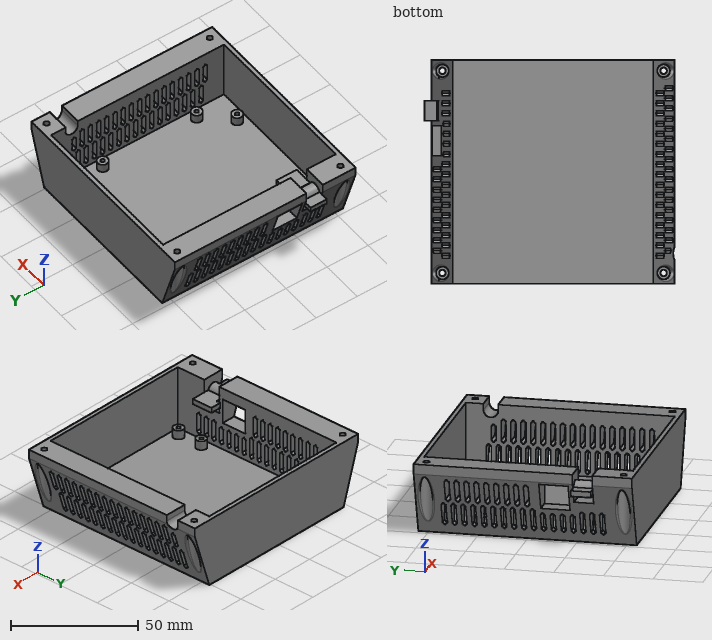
import cadquery as cq

total_length = 98.3
top_length = 95.6
bottom_length = 78.7
width = 88.0
height = 30.0
rim_band = 3.9
cavity_length = 74.4
side_wall = 2.0
floor_thickness = 2.0
lean_height = height - rim_band

screw_x = 43.5
screw_y = 39.7
screw_diameter = 2.5
head_diameter = 5.0
head_seat_z = 26.5
head_edge_radius = 0.8

post_diameter = 4.8
post_bore = 1.8
post_height = 4.0
outer_post_y = 37.6
outer_post_xs = (-32.7, 22.3)
inner_post_x = 32.8
inner_post_ys = (20.2, -25.6)

vents_per_row = 17
vent_row_span = 63.8
vent_pitch = vent_row_span / (vents_per_row - 1)
vent_stagger = vent_pitch / 2
vent_width = 2.0
upper_vent_z = (14.4, 24.2)
lower_vent_z = (3.7, 13.6)
short_upper_top = 21.8
short_lower_top = 12.0
upper_vents_beside_window = 9

window_y = (-18.2, -6.4)
window_z = (14.1, 25.0)

groove_width = 5.9
groove_y = 32.1
groove_depth = 5.4

lever_width = 8.0
lever_y = -24.0
lever_length = 20.1
lever_thickness = 2.4
lever_top = 24.2
barrel_diameter = 6.6
barrel_from_tip = 8.0
tab_length = 5.2
tab_reach = 2.0
notch_floor = 17.9

lever_tip_x = top_length / 2 - total_length
lever_end_x = lever_tip_x + lever_length


def block(x_range, y_range, z_range):
    """Box between the given X, Y and Z limits."""
    low, high = zip(x_range, y_range, z_range)
    size = [b - a for a, b in zip(low, high)]
    return cq.Workplane("XY").box(*size, centered=False).translate(low)


def wall_limits(side):
    """X limits that take in the whole wall on the -X (side -1) or +X (side 1) end."""
    return sorted((side * cavity_length / 2, side * top_length / 2))


def shell_outside():
    """Solid outer form, with the leaning sides under the rim band."""
    return (
        cq.Workplane("XZ")
        .moveTo(-bottom_length / 2, 0)
        .lineTo(bottom_length / 2, 0)
        .lineTo(top_length / 2, lean_height)
        .lineTo(top_length / 2, height)
        .lineTo(-top_length / 2, height)
        .lineTo(-top_length / 2, lean_height)
        .close()
        .extrude(width / 2, both=True)
    )


def cut_screw_holes(body):
    """Head pockets rise from the leaning faces; their mouths are rounded over."""
    corners = [(sx * screw_x, sy * screw_y) for sx in (-1, 1) for sy in (-1, 1)]
    pockets = cq.Workplane("XY").pushPoints(corners).circle(head_diameter / 2).extrude(head_seat_z)
    body = body.cut(pockets)
    body = body.edges("%ELLIPSE").fillet(head_edge_radius)
    holes = cq.Workplane("XY").pushPoints(corners).circle(screw_diameter / 2).extrude(height)
    return body.cut(holes)


def vent(side, y, z_range):
    """Upright slot cutter through one X wall, with a 45 degree point at each end."""
    start, end = wall_limits(side)
    bottom, top = z_range
    half_width = vent_width / 2
    return (
        cq.Workplane("YZ", origin=(start, y, 0))
        .moveTo(0, bottom)
        .lineTo(half_width, bottom + half_width)
        .lineTo(half_width, top - half_width)
        .lineTo(0, top)
        .lineTo(-half_width, top - half_width)
        .lineTo(-half_width, bottom + half_width)
        .close()
        .extrude(end - start)
    )


def vent_y(index, stagger_direction):
    """Y of a slot, counted from the +Y end of its row."""
    return vent_row_span / 2 - index * vent_pitch + stagger_direction * vent_stagger / 2


def upper_vents(side):
    """Slots that the window and lever notch leave no room for are absent from the -X wall."""
    count = upper_vents_beside_window if side < 0 else vents_per_row
    cutters = []
    for index in range(count):
        bottom, top = upper_vent_z
        if side > 0 and index == 0:
            top = short_upper_top
        cutters.append(vent(side, vent_y(index, -1), (bottom, top)))
    return cutters


def lower_vents(side):
    """Slots just below the window in the -X wall are shortened."""
    cutters = []
    for index in range(vents_per_row):
        bottom, top = lower_vent_z
        y = vent_y(index, 1)
        if side < 0 and window_y[0] - vent_width < y < window_y[1] + vent_width:
            top = short_lower_top
        cutters.append(vent(side, y, (bottom, top)))
    return cutters


def cable_groove():
    """Cutter with straight sides and a half-round bottom, running through the whole +X wall."""
    radius = groove_width / 2
    return (
        cq.Workplane("YZ", origin=(cavity_length / 2, groove_y, height))
        .moveTo(-radius, 0)
        .lineTo(-radius, radius - groove_depth)
        .threePointArc((0, -groove_depth), (radius, radius - groove_depth))
        .lineTo(radius, 0)
        .close()
        .extrude((top_length - cavity_length) / 2)
    )


def add_posts(body):
    """Eight bored posts that stand on the floor and carry the boards."""
    places = [(x, sy * outer_post_y) for x in outer_post_xs for sy in (-1, 1)]
    places += [(sx * inner_post_x, y) for sx in (-1, 1) for y in inner_post_ys]
    floor = cq.Workplane("XY", origin=(0, 0, floor_thickness))
    body = body.union(floor.pushPoints(places).circle(post_diameter / 2).extrude(post_height))
    return body.cut(floor.pushPoints(places).circle(post_bore / 2).extrude(post_height))


def lever_y_limits():
    """Y limits shared by the lever plate and the notch it lies in."""
    return (lever_y - lever_width / 2, lever_y + lever_width / 2)


def make_housing():
    """Hollow box with its wall openings and posts."""
    body = cut_screw_holes(shell_outside())
    cavity_x = (-cavity_length / 2, cavity_length / 2)
    cavity_y = (side_wall - width / 2, width / 2 - side_wall)
    body = body.cut(block(cavity_x, cavity_y, (floor_thickness, height)))
    body = body.cut(block(wall_limits(-1), window_y, window_z))
    body = body.cut(block(wall_limits(-1), lever_y_limits(), (notch_floor, height)))
    body = body.cut(cable_groove())
    for side in (-1, 1):
        for cutter in upper_vents(side) + lower_vents(side):
            body = body.cut(cutter)
    return add_posts(body)


def make_lever():
    """Plate with a sideways tab at its inner end and a barrel across its middle plane."""
    low_y, high_y = lever_y_limits()
    plate_z = (lever_top - lever_thickness, lever_top)
    plate = block((lever_tip_x, lever_end_x), (low_y, high_y), plate_z)
    tab = block((lever_end_x - tab_length, lever_end_x), (low_y, high_y + tab_reach), plate_z)
    barrel_x = lever_tip_x + barrel_from_tip
    barrel_z = lever_top - lever_thickness / 2
    barrel = (
        cq.Workplane("XZ", origin=(barrel_x, lever_y, barrel_z))
        .circle(barrel_diameter / 2)
        .extrude(lever_width / 2, both=True)
    )
    return plate.union(tab).union(barrel)


housing = make_housing()
lever = make_lever()
result = cq.Compound.makeCompound([housing.solids().val(), lever.solids().val()])